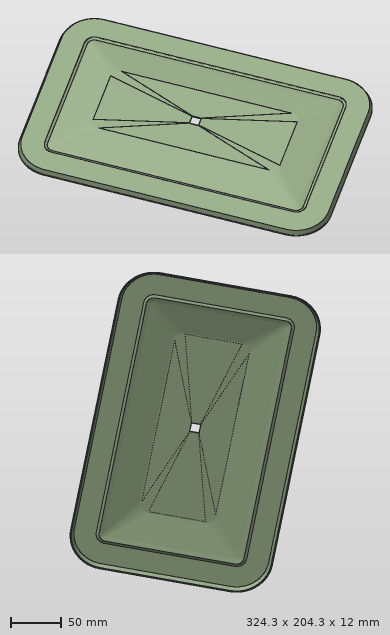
import cadquery as cq

LENGTH = 324.3
WIDTH = 204.3
HEIGHT = 12.0
RIM_HEIGHT = 5.68
SHEET = 1.3

RIM_RADIUS = 36.3
SKIRT_INSET = 2.5
CENTRE_X = LENGTH / 2 - RIM_RADIUS
CENTRE_Y = WIDTH / 2 - RIM_RADIUS

GROOVE_OUTER_RADIUS = 10.5
GROOVE_BOTTOM_RADIUS = 7.5
DOME_BASE_RADIUS = 3.0
GROOVE_DEPTH = 1.3

TOP_HALF_LENGTH = 98.5
TOP_HALF_WIDTH = 39.0
TOP_RADIUS = 10.0

HOLE_SIDE = 9.5
PANEL_DEPTH = 0.15
PANEL_MARGIN = 1.3
HOLE_CORNER_GAP = 0.3


def rounded_outline(half_x, half_y, radius, z):
    """Rounded rectangle wire, centred on the Z axis at height z."""
    face = cq.Sketch().rect(2 * half_x, 2 * half_y).vertices().fillet(radius)
    return cq.Workplane("XY", origin=(0, 0, z)).placeSketch(face)._getFaces()[0].outerWire()


def rim_outline(radius, z):
    """Outline at the given distance around the shared corner centres."""
    return rounded_outline(CENTRE_X + radius, CENTRE_Y + radius, radius, z)


def ruled_solid(lower, upper):
    return cq.Workplane(cq.Solid.makeLoft([lower, upper], True))


def cover_form(inset, drop):
    """Solid form of the cover, with its skirt moved in and its top surfaces lowered."""
    rim_z = RIM_HEIGHT - drop
    groove_z = rim_z - GROOVE_DEPTH
    rim = ruled_solid(
        rim_outline(RIM_RADIUS - inset, 0),
        rim_outline(RIM_RADIUS - SKIRT_INSET - inset, rim_z),
    )
    groove = ruled_solid(
        rim_outline(GROOVE_BOTTOM_RADIUS, groove_z),
        rim_outline(GROOVE_OUTER_RADIUS, rim_z),
    )
    dome_foot = ruled_solid(
        rim_outline(GROOVE_BOTTOM_RADIUS, groove_z),
        rim_outline(DOME_BASE_RADIUS, rim_z),
    )
    dome = ruled_solid(
        rim_outline(DOME_BASE_RADIUS, rim_z),
        rounded_outline(TOP_HALF_LENGTH, TOP_HALF_WIDTH, TOP_RADIUS, HEIGHT - drop),
    )
    return rim.cut(groove).union(dome_foot).union(dome)


def panel_recesses():
    """Four trapezoids running from the dome edge to the hole."""
    far_x = TOP_HALF_LENGTH - PANEL_MARGIN
    far_y = TOP_HALF_WIDTH - PANEL_MARGIN
    end_half = TOP_HALF_WIDTH - TOP_RADIUS
    side_half = TOP_HALF_LENGTH - TOP_RADIUS
    hole_half = HOLE_SIDE / 2
    inner_half = hole_half - HOLE_CORNER_GAP
    end_panel = [
        (far_x, -end_half), (far_x, end_half),
        (hole_half, inner_half), (hole_half, -inner_half),
    ]
    side_panel = [
        (-side_half, far_y), (side_half, far_y),
        (inner_half, hole_half), (-inner_half, hole_half),
    ]
    recesses = cq.Workplane("XY")
    for panel in (end_panel, side_panel):
        for sign in (1, -1):
            points = [(sign * x, sign * y) for x, y in panel]
            floor = cq.Workplane("XY", origin=(0, 0, HEIGHT - PANEL_DEPTH))
            recesses = recesses.add(floor.polyline(points).close().extrude(PANEL_DEPTH))
    return recesses.combine()


hole = cq.Workplane("XY").rect(HOLE_SIDE, HOLE_SIDE).extrude(HEIGHT)
sheet = cover_form(0, 0).cut(cover_form(SHEET, SHEET))
result = sheet.cut(panel_recesses()).cut(hole)